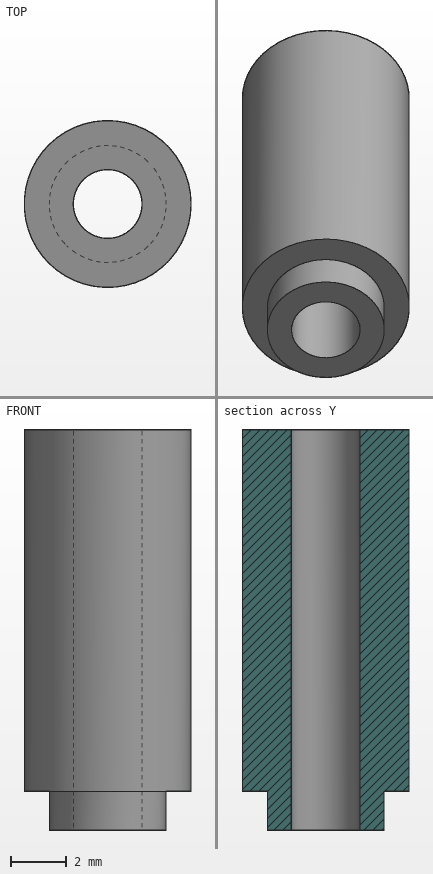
import cadquery as cq

body_diameter = 6.0
body_length = 13.0
spigot_diameter = 4.2
spigot_length = 1.4
bore_diameter = 2.46


def make_body():
    """Main cylinder, standing on the XY plane."""
    return cq.Workplane("XY").circle(body_diameter / 2).extrude(body_length)


def add_spigot(part):
    """Reduced-diameter spigot below the body."""
    spigot = cq.Workplane("XY").circle(spigot_diameter / 2).extrude(-spigot_length)
    return part.union(spigot)


def cut_bore(part):
    """Through bore along the common axis of body and spigot."""
    bore = (
        cq.Workplane("XY")
        .workplane(offset=-spigot_length)
        .circle(bore_diameter / 2)
        .extrude(spigot_length + body_length)
    )
    return part.cut(bore)


result = cut_bore(add_spigot(make_body()))